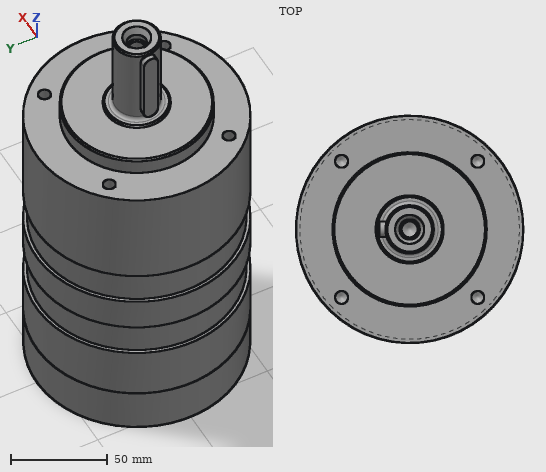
import cadquery as cq
import math

housing_dia = 118.0
end_cap_dia = 117.8
groove_dia = 114.0
end_cap_top = 26.5
rear_body_top = 58.3
band_height = 20.0
front_body_top = 178.0

pilot_dia = 80.0
pilot_height = 10.0
pilot_chamfer = 1.0
seal_dia = 35.4
seal_height = 1.0
seal_flank_angle = 45

total_height = 239
shaft_dia = 25.0
shaft_chamfer = 1.0
shaft_root_fillet = 2.2

key_width = 8.1
key_length = 44.7
key_top_gap = 1.7
key_outer_reach = 15.5
key_seat_depth = 4.0

centre_mouth_dia = 15.0
centre_relief_dia = 10.5
centre_relief_depth = 7.5
centre_bore_dia = 8.4
centre_bore_depth = 30.0
centre_cone_angle = 60

mount_hole_dia = 6.7
mount_hole_depth = 16.0
mount_circle_dia = 100.0
mount_hole_count = 4
mount_start_angle = 45

drill_tip_angle = 118

pilot_top = front_body_top + pilot_height
seal_top = pilot_top + seal_height


def cylinder(diameter, bottom, top):
    return cq.Workplane("XY").workplane(offset=bottom).circle(diameter / 2).extrude(top - bottom)


def cone_height(radius_change, included_angle):
    return radius_change / math.tan(math.radians(included_angle / 2))


def make_housing():
    lower_groove_top = rear_body_top + band_height
    middle_ring_top = lower_groove_top + band_height
    upper_groove_top = middle_ring_top + band_height
    sections = [
        (housing_dia, rear_body_top),
        (groove_dia, lower_groove_top),
        (housing_dia, middle_ring_top),
        (groove_dia, upper_groove_top),
        (housing_dia, front_body_top),
    ]
    housing = cylinder(end_cap_dia, 0, end_cap_top)
    bottom = end_cap_top
    for diameter, top in sections:
        housing = housing.union(cylinder(diameter, bottom, top))
        bottom = top
    return housing


def make_pilot_and_seal():
    pilot = cylinder(pilot_dia, front_body_top, pilot_top).faces(">Z").chamfer(pilot_chamfer)
    seal = (
        cq.Workplane("XY", origin=(0, 0, pilot_top))
        .circle(seal_dia / 2)
        .extrude(seal_height, taper=seal_flank_angle)
    )
    return pilot.union(seal)


def make_shaft():
    """Shaft with a chamfered end and a concave fillet running out onto the seal ring."""
    radius = shaft_dia / 2
    root_radius = radius + shaft_root_fillet
    fillet_top = seal_top + shaft_root_fillet
    fillet_offset = shaft_root_fillet * (1 - math.sqrt(0.5))
    return (
        cq.Workplane("XZ")
        .moveTo(0, seal_top)
        .lineTo(root_radius, seal_top)
        .threePointArc((radius + fillet_offset, seal_top + fillet_offset), (radius, fillet_top))
        .lineTo(radius, total_height - shaft_chamfer)
        .lineTo(radius - shaft_chamfer, total_height)
        .lineTo(0, total_height)
        .close()
        .revolve(360, (0, 0), (0, 1))
    )


def make_key():
    """Round-ended key lying along the shaft, seated below the shaft surface."""
    key_centre = total_height - key_top_gap - key_length / 2
    key_inner_reach = shaft_dia / 2 - key_seat_depth
    return (
        cq.Workplane("YZ", origin=(-key_outer_reach, 0, key_centre))
        .slot2D(key_length, key_width, 90)
        .extrude(key_outer_reach - key_inner_reach)
    )


def drilled_hole(diameter, depth, top):
    """Blind hole on the Z axis with a conical drill tip below its full depth."""
    radius = diameter / 2
    bottom = top - depth
    return (
        cq.Workplane("XZ")
        .moveTo(0, top)
        .lineTo(radius, top)
        .lineTo(radius, bottom)
        .lineTo(0, bottom - cone_height(radius, drill_tip_angle))
        .close()
        .revolve(360, (0, 0), (0, 1))
    )


def make_centre_hole():
    mouth_radius = centre_mouth_dia / 2
    relief_radius = centre_relief_dia / 2
    bore_radius = centre_bore_dia / 2
    mouth_depth = cone_height(mouth_radius - relief_radius, centre_cone_angle)
    relief_bottom = total_height - centre_relief_depth
    step_height = cone_height(relief_radius - bore_radius, drill_tip_angle)
    entry = (
        cq.Workplane("XZ")
        .moveTo(0, total_height)
        .lineTo(mouth_radius, total_height)
        .lineTo(relief_radius, total_height - mouth_depth)
        .lineTo(relief_radius, relief_bottom)
        .lineTo(bore_radius, relief_bottom - step_height)
        .lineTo(0, relief_bottom - step_height)
        .close()
        .revolve(360, (0, 0), (0, 1))
    )
    return entry.union(drilled_hole(centre_bore_dia, centre_bore_depth, total_height))


result = make_housing().union(make_pilot_and_seal()).union(make_shaft()).union(make_key())
result = result.cut(make_centre_hole())

mount_hole = drilled_hole(mount_hole_dia, mount_hole_depth, front_body_top).translate(
    (mount_circle_dia / 2, 0, 0)
)
for index in range(mount_hole_count):
    angle = mount_start_angle + index * 360 / mount_hole_count
    result = result.cut(mount_hole.rotate((0, 0, 0), (0, 0, 1), angle))